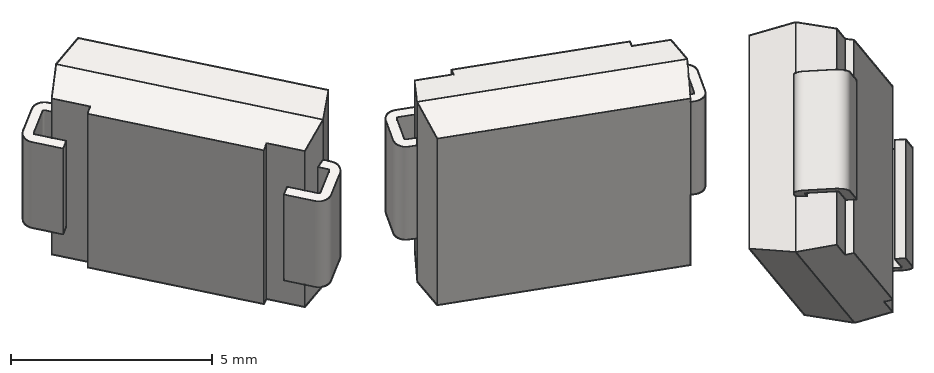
import cadquery as cq
import math

housing_length = 6.885
housing_width = 5.9
half_depth = 1.225
draft_angle = 10.0
ledge_depth = 1.0
pad_length = 4.55

overall_length = 7.95
lead_depth = 1.42
lead_width = 3.05
lead_thickness = 0.28
foot_length = 1.13
outer_bend_radius = 0.325
inner_bend_radius = outer_bend_radius - lead_thickness


def tapered_half(direction):
    """Half of the housing, narrowing away from the parting plane along Y * direction."""
    inset = half_depth * math.tan(math.radians(draft_angle))
    return (
        cq.Workplane("XZ")
        .rect(housing_length, housing_width)
        .workplane(offset=-direction * half_depth)
        .rect(housing_length - 2 * inset, housing_width - 2 * inset)
        .loft(ruled=True)
    )


def make_housing():
    """Drafted block whose front is stepped back at both ends, leaving a raised pad."""
    body = tapered_half(1).union(tapered_half(-1))
    step_length = (housing_length - pad_length) / 2
    step_depth = half_depth - ledge_depth
    for side in (-1, 1):
        step = cq.Workplane("XY").box(step_length, step_depth, housing_width).translate(
            (side * (pad_length + step_length) / 2, -(ledge_depth + half_depth) / 2, 0)
        )
        body = body.cut(step)
    return body.solids()


def make_lead(side, housing):
    """C-shaped strip: an arm meeting the drafted end face, a bend, and a foot in front."""
    outer_x = overall_length / 2
    foot_x = outer_x - foot_length
    inner_x = outer_x - lead_thickness
    outside = (
        cq.Workplane("XY")
        .box(foot_length, lead_depth, lead_width)
        .translate((outer_x - foot_length / 2, -lead_depth / 2, 0))
        .edges("|Z and >X")
        .fillet(outer_bend_radius)
    )
    inside = (
        cq.Workplane("XY")
        .box(inner_x - foot_x, lead_depth - 2 * lead_thickness, lead_width)
        .translate(((inner_x + foot_x) / 2, -lead_depth / 2, 0))
        .edges("|Z and >X")
        .fillet(inner_bend_radius)
    )
    lead = outside.cut(inside)
    if side < 0:
        lead = lead.mirror("YZ")
    return lead.cut(housing).solids()


housing = make_housing()
leads = [make_lead(side, housing) for side in (-1, 1)]

result = cq.Compound.makeCompound([housing.val(), *[lead.val() for lead in leads]])